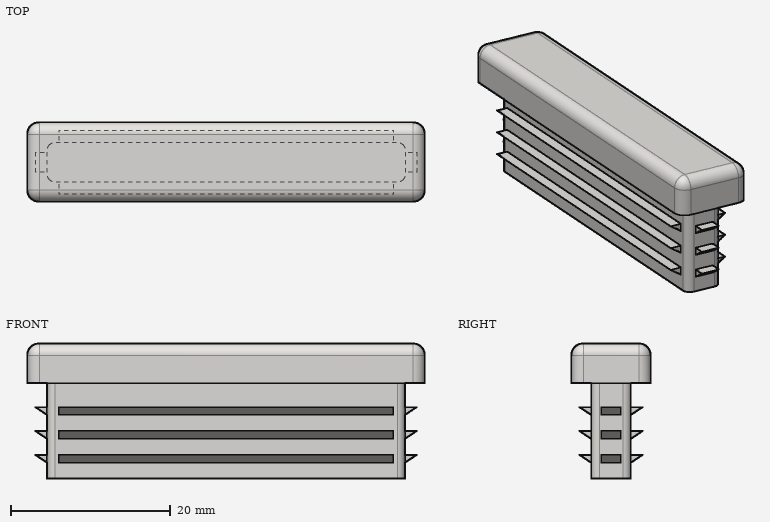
import cadquery as cq

cap_length = 50.0
cap_width = 10.0
cap_height = 5.0
cap_radius = 1.5

plug_length = 45.0
plug_width = 5.0
plug_depth = 12.0
plug_radius = 1.0

fin_count = 3
fin_pitch = 3.0
fin_reach = 1.5
fin_height = 1.0
side_fin_length = 42.0
end_fin_length = 2.5


def make_cap():
    block = cq.Workplane("XY").box(cap_length, cap_width, cap_height, centered=(True, True, False))
    return block.edges("|Z").fillet(cap_radius).faces(">Z").edges().fillet(cap_radius)


def make_plug():
    block = cq.Workplane("XY").rect(plug_length, plug_width).extrude(-plug_depth)
    return block.edges("|Z").fillet(plug_radius)


def fin_bar(length, span, top_z):
    """Bar along X passing through the plug, with a pointed fin on each Y side."""
    root = span / 2
    tip = root + fin_reach
    return (
        cq.Workplane("YZ")
        .moveTo(-tip, top_z)
        .lineTo(tip, top_z)
        .lineTo(root, top_z - fin_height)
        .lineTo(-root, top_z - fin_height)
        .close()
        .extrude(length / 2, both=True)
    )


result = make_cap().union(make_plug())
for row in range(1, fin_count + 1):
    fin_top = -row * fin_pitch
    side_fins = fin_bar(side_fin_length, plug_width, fin_top)
    end_fins = fin_bar(end_fin_length, plug_length, fin_top).rotate((0, 0, 0), (0, 0, 1), 90)
    result = result.union(side_fins).union(end_fins)